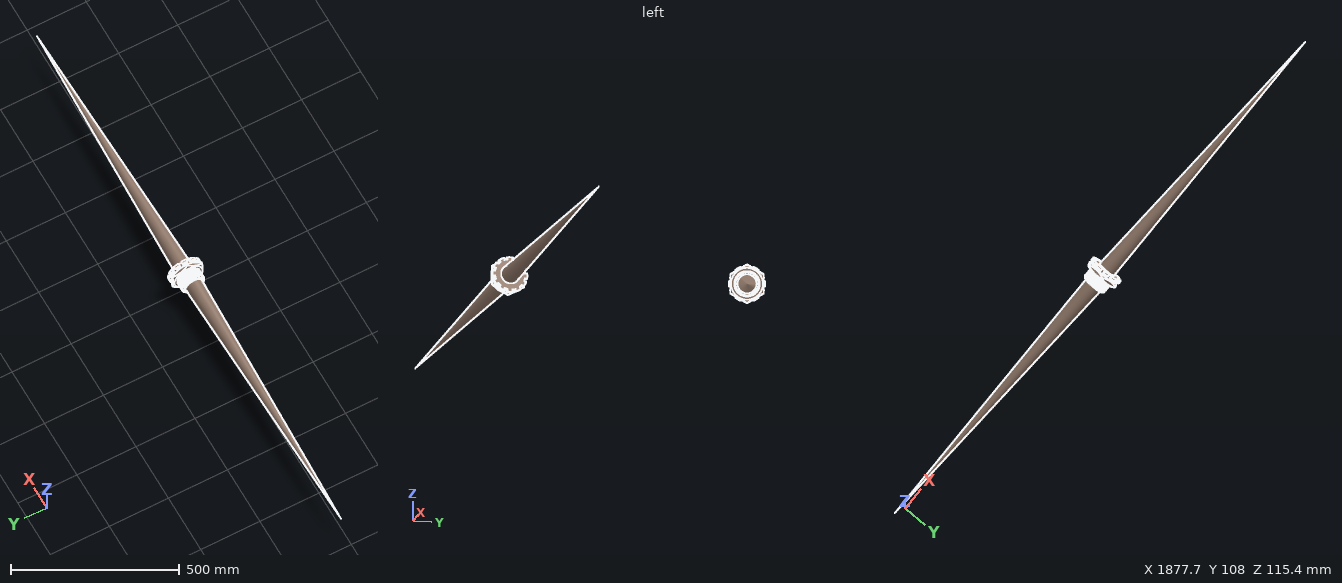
import cadquery as cq
import math

spindle_length = 1877.65
spindle_diameter = 58.42

sleeve_start = -30.0
fitting_end = 32.0
thread_diameter = 75.88
thread_pitch = 3.175
thread_flank_angle = 30.0
thread_depth = thread_pitch * math.cos(math.radians(thread_flank_angle)) / 2
thread_flat = thread_pitch / 4
lead_chamfer = 4.0
neck_diameter = 93.66
flange_diameter = 107.95
flange_start = 24.0
notch_count = 12
notch_width = 10.0

nut_across_corners = 115.38
nut_face_diameter = 94.46
nut_chamfer_angle = 30.0
nut_start = 3.5
nut_end = 18.5


def cylinder(diameter, start, end):
    return cq.Workplane("YZ").workplane(offset=start).circle(diameter / 2).extrude(end - start)


def revolve_about_x(points):
    """Solid of revolution from (x, radius) points."""
    return cq.Workplane("XY").polyline(points).close().revolve(360, (0, 0, 0), (1, 0, 0))


def make_spindle():
    tip_x = spindle_length / 2
    return revolve_about_x([(-tip_x, 0), (0, spindle_diameter / 2), (tip_x, 0)])


def make_threaded_sleeve():
    """Sleeve with ring-shaped thread grooves between its chamfered end and the nut."""
    crest_radius = thread_diameter / 2
    root_radius = crest_radius - thread_depth
    flank = (thread_pitch - 2 * thread_flat) / 2
    thread_start = sleeve_start + lead_chamfer
    groove_count = int((nut_start - thread_start) / thread_pitch)

    points = [
        (sleeve_start, 0),
        (sleeve_start, crest_radius - lead_chamfer),
        (thread_start, crest_radius),
    ]
    for index in range(groove_count):
        groove_x = thread_start + thread_flat + index * thread_pitch
        points += [
            (groove_x, crest_radius),
            (groove_x + flank, root_radius),
            (groove_x + flank + thread_flat, root_radius),
            (groove_x + 2 * flank + thread_flat, crest_radius),
        ]
    points += [(nut_end, crest_radius), (nut_end, 0)]
    return revolve_about_x(points)


def make_toothed_flange():
    """Flange whose rim is cut by evenly spaced notches down to the neck diameter."""
    flange = cylinder(flange_diameter, flange_start, fitting_end)
    for index in range(notch_count):
        notch = (
            cq.Workplane("YZ")
            .workplane(offset=flange_start)
            .center(flange_diameter / 2, 0)
            .rect(flange_diameter, notch_width)
            .extrude(fitting_end - flange_start)
            .rotate((0, 0, 0), (1, 0, 0), (index + 0.5) * 360 / notch_count)
        )
        flange = flange.cut(notch)
    return flange.union(cylinder(neck_diameter, flange_start, fitting_end))


def make_fitting(spindle):
    neck = cylinder(neck_diameter, nut_end, flange_start)
    body = make_threaded_sleeve().union(neck).union(make_toothed_flange())
    return body.cut(spindle)


def make_nut():
    """Hexagon nut with corners on +Z and -Z, chamfered on both faces."""
    hexagon = (
        cq.Workplane("YZ")
        .workplane(offset=nut_start)
        .polygon(6, nut_across_corners)
        .extrude(nut_end - nut_start)
        .rotate((0, 0, 0), (1, 0, 0), 90)
    )
    corner_radius = nut_across_corners / 2
    face_radius = nut_face_diameter / 2
    chamfer_length = (corner_radius - face_radius) * math.tan(math.radians(nut_chamfer_angle))
    chamfered_envelope = revolve_about_x(
        [
            (nut_start, 0),
            (nut_start, face_radius),
            (nut_start + chamfer_length, corner_radius),
            (nut_end - chamfer_length, corner_radius),
            (nut_end, face_radius),
            (nut_end, 0),
        ]
    )
    return hexagon.intersect(chamfered_envelope).cut(cylinder(thread_diameter, nut_start, nut_end))


spindle = make_spindle()
fitting = make_fitting(spindle)
nut = make_nut()

result = cq.Compound.makeCompound([spindle.val(), fitting.val(), nut.val()])